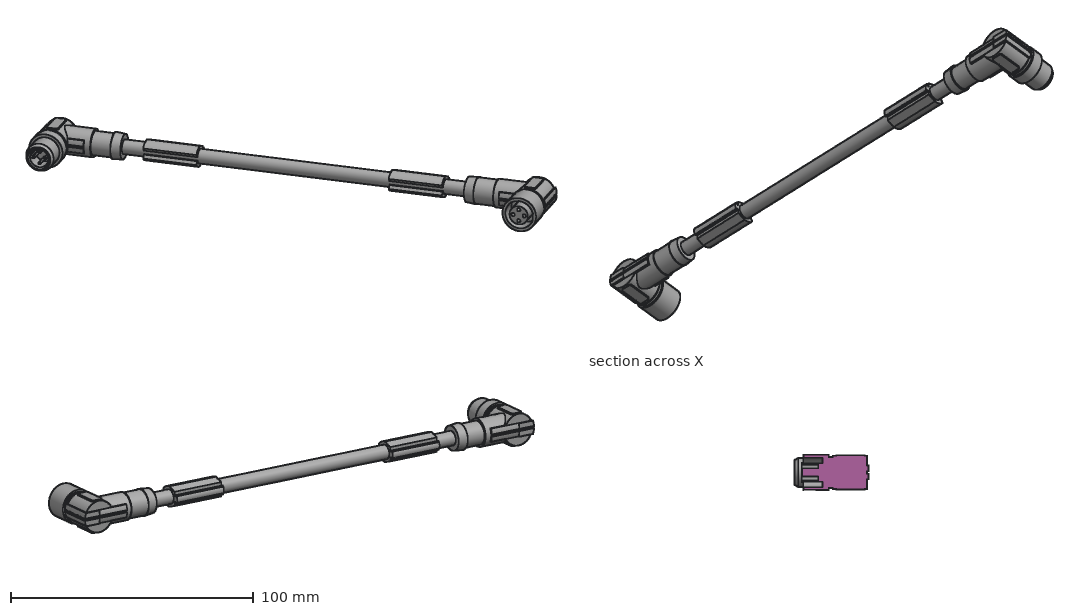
import cadquery as cq
import math

OVERALL_LENGTH = 222.5
COLLAR_RADIUS = 7.3
PLUG_X = OVERALL_LENGTH / 2 - COLLAR_RADIUS

CABLE_RADIUS = 3.1

HEAD_RADIUS = 7.0
HEAD_BACK_Y = 6.0
HEAD_FRONT_Y = -8.2
NECK_RADIUS = 6.5
COLLAR_BACK_Y = -9.8

RIB_WIDTH = 5.8
RIB_RADIUS = 6.7
RIB_END_X = 90.3
RIB_GROOVE_WIDTH = 1.0
RIB_GROOVE_DEPTH = 0.7

LABEL_WIDTH = 5.0
LABEL_LENGTH = 11.8
LABEL_Y = -1.0
LABEL_TOP_Z = 7.1
LABEL_CORNER = 1.0

SLEEVE_RADIUS = 6.0
SLEEVE_STEP_X = 87.7
LIP_X = 79.0
SLEEVE_END_X = 74.8
LIP_RADIUS = 5.8
SLEEVE_END_RADIUS = 5.3
MALE_SLEEVE_RADIUS = 5.1
FEMALE_SLEEVE_RADIUS = 5.5

CONTACT_COUNT = 4
CONTACT_CIRCLE_RADIUS = 2.5

MALE_COLLAR_FRONT_Y = -15.0
MALE_FRONT_Y = -24.0
MALE_RADIUS = 6.0
MALE_BORE_RADIUS = 4.0
MALE_BORE_DEPTH = 7.8
MALE_CHAMFER_LENGTH = 1.5
MALE_CHAMFER_DEPTH = 1.0
BORE_CHAMFER = 0.7
PIN_RADIUS = 0.5
PIN_SETBACK = 1.1
KEY_SIZE = 1.1

FEMALE_COLLAR_FRONT_Y = -20.2
FEMALE_FRONT_Y = -21.0
FEMALE_CAVITY_RADIUS = 6.0
FEMALE_INSERT_RADIUS = 4.0
FEMALE_CAVITY_DEPTH = 7.8
CONTACT_HOLE_RADIUS = 0.71
CONTACT_HOLE_DEPTH = 6.7

MARKER_START_X = 41.8
MARKER_LENGTH = 23.1
MARKER_HALF_HEIGHT = 4.5
MARKER_BACK_Y = 3.8
MARKER_BACK_HALF_HEIGHT = 3.1
MOUTH_Y = -4.7
MOUTH_HALF_HEIGHT = 2.2
MOUTH_ROOT_Y = -3.8
MOUTH_ROOT_HALF_HEIGHT = 1.0
RAIL_BACK_Y = 5.8
RAIL_LIP_Y = 5.0
RAIL_NECK_HALF_HEIGHT = 1.3
RAIL_HALF_HEIGHT = 2.0


def bar_x(radius, x_start, x_end):
    """Round bar on the cable axis."""
    return cq.Workplane("YZ", origin=(x_start, 0, 0)).circle(radius).extrude(x_end - x_start)


def bar_y(radius, y_back, y_front, x=-PLUG_X, z=0):
    """Round bar parallel to a plug axis, from y_back towards -Y."""
    return cq.Workplane("XZ", origin=(x, y_back, z)).circle(radius).extrude(y_back - y_front)


def cone_y(back_radius, front_radius, y_back, y_front):
    """Round taper on the left plug axis, from y_back towards -Y."""
    return (
        cq.Workplane("XZ", origin=(-PLUG_X, y_back, 0)).circle(back_radius)
        .workplane(offset=y_back - y_front).circle(front_radius).loft()
    )


def block(x_range, y_range, z_range):
    """Box between two limits along each axis."""
    spans = [high - low for low, high in (x_range, y_range, z_range)]
    corner = (x_range[0], y_range[0], z_range[0])
    return cq.Workplane("XY").box(*spans, centered=False).translate(corner)


def contact_points():
    """Centres of the contacts around the left plug axis, as (x, z)."""
    points = []
    for index in range(CONTACT_COUNT):
        angle = 2 * math.pi * index / CONTACT_COUNT
        points.append(
            (-PLUG_X + CONTACT_CIRCLE_RADIUS * math.cos(angle), CONTACT_CIRCLE_RADIUS * math.sin(angle))
        )
    return points


def housing(grip_radius):
    """Angled body: head, grooved ribs, label pads, sleeve and neck."""
    outer_x = -PLUG_X - COLLAR_RADIUS
    body = bar_y(HEAD_RADIUS, HEAD_BACK_Y, HEAD_FRONT_Y)
    body = body.union(bar_y(NECK_RADIUS, HEAD_FRONT_Y, COLLAR_BACK_Y))
    body = body.union(bar_x(SLEEVE_RADIUS, -PLUG_X, -SLEEVE_STEP_X))
    body = body.union(bar_x(grip_radius, -SLEEVE_STEP_X, -LIP_X))
    lip = (
        cq.Workplane("YZ", origin=(-LIP_X, 0, 0)).circle(LIP_RADIUS)
        .workplane(offset=LIP_X - SLEEVE_END_X).circle(SLEEVE_END_RADIUS).loft()
    )
    body = body.union(lip)

    rib_z = (-RIB_WIDTH / 2, RIB_WIDTH / 2)
    rib_y = (-RIB_RADIUS, RIB_RADIUS)
    outer_rib = bar_y(COLLAR_RADIUS, RIB_RADIUS, HEAD_FRONT_Y)
    outer_rib = outer_rib.intersect(block((outer_x, -PLUG_X), (HEAD_FRONT_Y, RIB_RADIUS), rib_z))
    sleeve_ribs = bar_x(RIB_RADIUS, -PLUG_X, -RIB_END_X)
    sleeve_ribs = sleeve_ribs.intersect(block((-PLUG_X, -RIB_END_X), rib_y, rib_z))
    body = body.union(outer_rib).union(sleeve_ribs)

    groove_z = (-RIB_GROOVE_WIDTH / 2, RIB_GROOVE_WIDTH / 2)
    groove_floor = RIB_RADIUS - RIB_GROOVE_DEPTH
    body = body.cut(block((outer_x, outer_x + RIB_GROOVE_DEPTH), (HEAD_FRONT_Y, RIB_RADIUS), groove_z))
    body = body.cut(block((outer_x, -RIB_END_X), (groove_floor, RIB_RADIUS), groove_z))
    inner_start_x = -PLUG_X + HEAD_RADIUS
    body = body.cut(block((inner_start_x, -RIB_END_X), (-RIB_RADIUS, -groove_floor), groove_z))

    pads = (
        cq.Workplane("XY", origin=(-PLUG_X, LABEL_Y, -LABEL_TOP_Z))
        .rect(LABEL_WIDTH, LABEL_LENGTH).extrude(2 * LABEL_TOP_Z)
        .edges("|Z").fillet(LABEL_CORNER)
    )
    return body.union(pads)


def male_plug():
    """Collar and chamfered shell with a keyed bore and contact pins."""
    floor_y = MALE_FRONT_Y + MALE_BORE_DEPTH
    chamfer_y = MALE_FRONT_Y + MALE_CHAMFER_LENGTH
    shell = bar_y(MALE_RADIUS, MALE_COLLAR_FRONT_Y, chamfer_y)
    tip = cone_y(MALE_RADIUS, MALE_RADIUS - MALE_CHAMFER_DEPTH, chamfer_y, MALE_FRONT_Y)
    shell = shell.union(tip)
    plug = bar_y(COLLAR_RADIUS, COLLAR_BACK_Y, MALE_COLLAR_FRONT_Y).union(shell)
    plug = plug.cut(bar_y(MALE_BORE_RADIUS, floor_y, MALE_FRONT_Y))
    lead_in_y = MALE_FRONT_Y + BORE_CHAMFER
    plug = plug.cut(cone_y(MALE_BORE_RADIUS, MALE_BORE_RADIUS + BORE_CHAMFER, lead_in_y, MALE_FRONT_Y))
    key_x = -PLUG_X - MALE_BORE_RADIUS
    key = block(
        (key_x - KEY_SIZE / 2, key_x + KEY_SIZE),
        (MALE_FRONT_Y + PIN_SETBACK, floor_y),
        (-KEY_SIZE / 2, KEY_SIZE / 2),
    )
    plug = plug.union(key)
    for x, z in contact_points():
        plug = plug.union(bar_y(PIN_RADIUS, floor_y, MALE_FRONT_Y + PIN_SETBACK, x, z))
    return plug


def female_socket():
    """Collar with an annular cavity around a projecting contact insert."""
    floor_y = FEMALE_COLLAR_FRONT_Y + FEMALE_CAVITY_DEPTH
    socket = bar_y(COLLAR_RADIUS, COLLAR_BACK_Y, FEMALE_COLLAR_FRONT_Y)
    socket = socket.cut(bar_y(FEMALE_CAVITY_RADIUS, floor_y, FEMALE_COLLAR_FRONT_Y))
    socket = socket.union(bar_y(FEMALE_INSERT_RADIUS, floor_y, FEMALE_FRONT_Y))
    for x, z in contact_points():
        hole = bar_y(CONTACT_HOLE_RADIUS, FEMALE_FRONT_Y + CONTACT_HOLE_DEPTH, FEMALE_FRONT_Y, x, z)
        socket = socket.cut(hole)
    return socket


def marker():
    """Clip around the cable with a flared mouth towards -Y and a label rail towards +Y."""
    x_range = (MARKER_START_X, MARKER_START_X + MARKER_LENGTH)
    jaw_radius = (MOUTH_Y**2 + (MARKER_HALF_HEIGHT - MOUTH_HALF_HEIGHT)**2) / (
        2 * (MARKER_HALF_HEIGHT - MOUTH_HALF_HEIGHT)
    )
    jaw_angle = math.asin(-MOUTH_Y / jaw_radius) / 2
    jaw_middle = (
        -jaw_radius * math.sin(jaw_angle),
        MARKER_HALF_HEIGHT - jaw_radius * (1 - math.cos(jaw_angle)),
    )
    clip = (
        cq.Workplane("YZ", origin=(MARKER_START_X, 0, 0))
        .moveTo(MARKER_BACK_Y, -MARKER_BACK_HALF_HEIGHT)
        .lineTo(MARKER_BACK_Y, MARKER_BACK_HALF_HEIGHT)
        .lineTo(0, MARKER_HALF_HEIGHT)
        .threePointArc(jaw_middle, (MOUTH_Y, MOUTH_HALF_HEIGHT))
        .lineTo(MOUTH_ROOT_Y, MOUTH_ROOT_HALF_HEIGHT)
        .lineTo(0, MOUTH_ROOT_HALF_HEIGHT)
        .lineTo(0, -MOUTH_ROOT_HALF_HEIGHT)
        .lineTo(MOUTH_ROOT_Y, -MOUTH_ROOT_HALF_HEIGHT)
        .lineTo(MOUTH_Y, -MOUTH_HALF_HEIGHT)
        .threePointArc((jaw_middle[0], -jaw_middle[1]), (0, -MARKER_HALF_HEIGHT))
        .close().extrude(MARKER_LENGTH)
    )
    neck_z = (-RAIL_NECK_HALF_HEIGHT, RAIL_NECK_HALF_HEIGHT)
    clip = clip.union(block(x_range, (MARKER_BACK_Y, RAIL_LIP_Y), neck_z))
    rail = (
        cq.Workplane("YZ", origin=(MARKER_START_X, 0, 0))
        .moveTo(RAIL_LIP_Y, -RAIL_HALF_HEIGHT)
        .threePointArc((RAIL_BACK_Y, 0), (RAIL_LIP_Y, RAIL_HALF_HEIGHT))
        .close().extrude(MARKER_LENGTH)
    )
    return clip.union(rail)


cable = bar_x(CABLE_RADIUS, -SLEEVE_END_X, SLEEVE_END_X)
male_end = housing(MALE_SLEEVE_RADIUS).union(male_plug())
female_end = housing(FEMALE_SLEEVE_RADIUS).union(female_socket()).mirror("YZ")
right_marker = marker()
left_marker = right_marker.mirror("YZ")

result = cable.union(male_end).union(female_end).union(left_marker).union(right_marker)